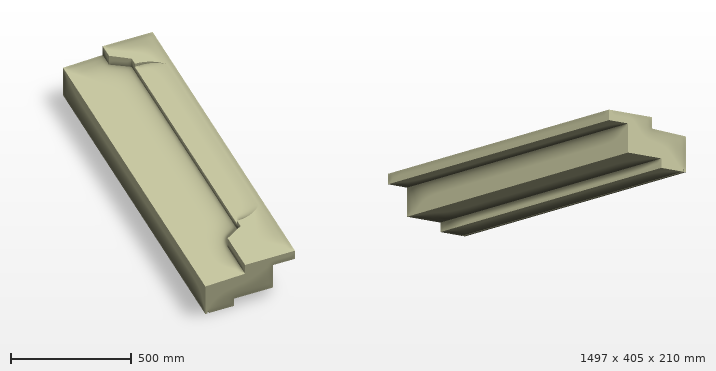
import cadquery as cq
import math

length = 1497.0
depth = 405.0
height = 210.0

foot_depth = 130.0
foot_height = 40.0
web_back = 305.0
flange_thickness = 45.0
front_height = 153.0
ledge_slope = 0.045

shoulder_front = 180.0
platform_front = 259.0
left_shoulder_length = 66.0
left_notch_start = 120.0
right_shoulder_length = 183.0
right_notch_length = 232.0

recess_back = 379.0
recess_depth = 18.0
recess_left = 154.0
recess_right = length - 268.0
recess_end_inset = 54.0

groove_setback = 10.0
groove_width = 6.0
groove_height = 9.0


def ledge_height(y):
    """Height of the sloping front ledge at distance y from the front face."""
    return front_height + ledge_slope * y


def extrude_profile(points, x_start=0.0, x_end=length):
    """Extrude a closed (Y, Z) profile along X."""
    return cq.Workplane("YZ", origin=(x_start, 0, 0)).polyline(points).close().extrude(x_end - x_start)


def make_body():
    """Full-length stepped section, with the sloping ledge up to the platform."""
    flange_bottom = height - flange_thickness
    return extrude_profile([
        (0, 0),
        (foot_depth, 0),
        (foot_depth, foot_height),
        (web_back, foot_height),
        (web_back, flange_bottom),
        (depth, flange_bottom),
        (depth, height),
        (shoulder_front, height),
        (shoulder_front, ledge_height(shoulder_front)),
        (0, front_height),
    ])


def make_notch():
    """Trapezoidal setback between the shoulders, with its floor on the ledge plane."""
    outline = (
        cq.Workplane("XY")
        .polyline([
            (left_shoulder_length, shoulder_front),
            (left_notch_start, platform_front),
            (length - right_notch_length, platform_front),
            (length - right_shoulder_length, shoulder_front),
        ])
        .close()
        .extrude(height)
    )
    above_ledge = extrude_profile([
        (0, ledge_height(0)),
        (depth, ledge_height(depth)),
        (depth, height),
        (0, height),
    ])
    return outline.intersect(above_ledge)


def make_recess():
    """Recess with arc ends; its floor rises to the platform top at the back."""
    run = recess_back - platform_front
    end_radius = (run**2 + recess_end_inset**2) / (2 * recess_end_inset)
    half_angle = math.asin(run / end_radius) / 2
    mid_inset = end_radius * (1 - math.cos(half_angle))
    mid_y = platform_front + end_radius * math.sin(half_angle)
    outline = (
        cq.Workplane("XY")
        .moveTo(recess_left, platform_front)
        .threePointArc((recess_left + mid_inset, mid_y), (recess_left + recess_end_inset, recess_back))
        .lineTo(recess_right - recess_end_inset, recess_back)
        .threePointArc((recess_right - mid_inset, mid_y), (recess_right, platform_front))
        .close()
        .extrude(height)
    )
    above_floor = extrude_profile([
        (platform_front, height - recess_depth),
        (recess_back, height),
        (platform_front, height),
    ])
    return outline.intersect(above_floor)


def make_groove():
    """Full-length drip groove in the underside of the foot."""
    groove_back = groove_setback + groove_width
    return extrude_profile([
        (groove_setback, 0),
        (groove_back, 0),
        (groove_back, groove_height),
        (groove_setback, groove_height),
    ])


result = make_body().cut(make_notch()).cut(make_recess()).cut(make_groove())